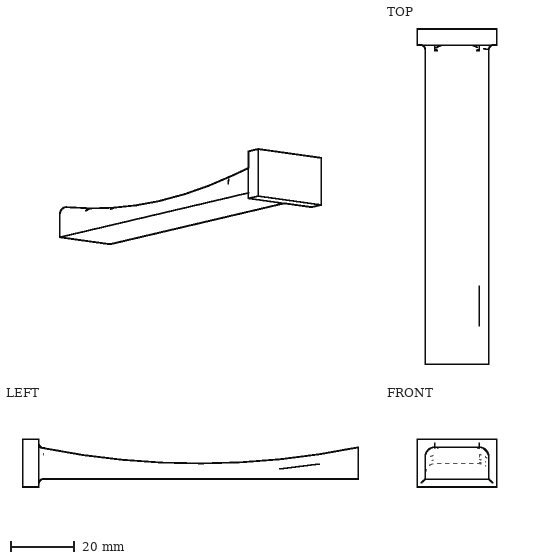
import cadquery as cq
import math

plate_width = 25.0
plate_height = 15.0
plate_thickness = 5.0

total_length = 105.0
bar_width = 20.0
bar_height = 10.0
top_sag = 5.0
top_edge_radius = 3.0
root_radius = 1.5

bar_length = total_length - plate_thickness
half_length = bar_length / 2
half_height = bar_height / 2
top_radius = (half_length**2 + top_sag**2) / (2 * top_sag)
top_half_width = bar_width / 2 - top_edge_radius


def side_profile(closing_z):
    """Area in the YZ plane between the concave top and the level closing_z.

    The plate face is at Y = 0 and the free end of the bar is at -Y.
    """
    return (
        cq.Workplane("YZ")
        .moveTo(0, closing_z)
        .lineTo(0, half_height)
        .threePointArc((-half_length, half_height - top_sag), (-bar_length, half_height))
        .lineTo(-bar_length, closing_z)
        .close()
    )


def make_bar():
    """Bar with its two long curved top edges rounded."""
    bar = side_profile(-half_height).extrude(bar_width / 2, both=True)
    return bar.edges("%CIRCLE").fillet(top_edge_radius)


def blend_root(body):
    """Fillet between the plate and the bar, all around the bar's root."""
    margin = 0.01
    root_edges = cq.selectors.BoxSelector(
        (-bar_width / 2 - margin, -margin, -half_height - margin),
        (bar_width / 2 + margin, margin, half_height + margin),
        boundingbox=True,
    )
    return body.edges(root_edges).fillet(root_radius)


def make_corner_collar():
    """Quarter turn of the root blend about the right top corner's axis.

    It carries the corner blend on toward the middle until it sinks into the top.
    """
    slope = math.asin(half_length / top_radius)
    centre_radius = top_edge_radius - root_radius * math.tan(slope) + root_radius / math.cos(slope)

    def arc_point(angle):
        return (
            centre_radius - root_radius * math.cos(angle),
            -root_radius * (1 + math.sin(angle)),
        )

    start_angle = -math.pi / 2
    tangent_point = arc_point(slope)
    return (
        cq.Workplane("XY")
        .moveTo(0, 0)
        .lineTo(*arc_point(start_angle))
        .threePointArc(arc_point((start_angle + slope) / 2), tangent_point)
        .lineTo(0, tangent_point[1])
        .close()
        .revolve(90, (0, 0), (0, 1))
        .rotate((0, 0, 0), (0, 1, 0), 180)
        .translate((top_half_width, 0, half_height - top_edge_radius))
    )


plate = cq.Workplane("XY").box(
    plate_width, plate_thickness, plate_height, centered=(True, False, True)
)
body = blend_root(plate.union(make_bar()))

middle_clearance = side_profile(plate_height / 2).extrude(top_half_width, both=True)
right_collar = make_corner_collar()
result = body.cut(middle_clearance).union(right_collar).union(right_collar.mirror("YZ"))